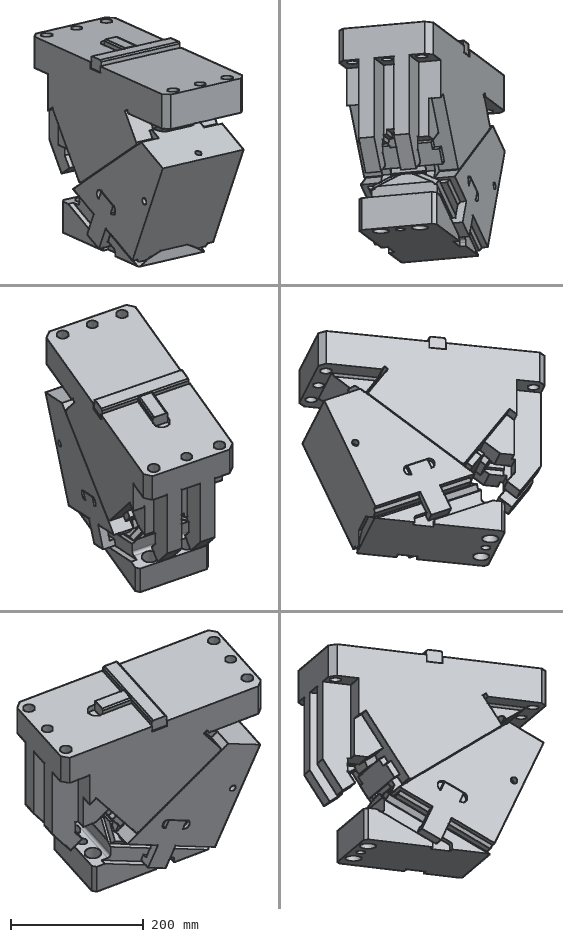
import cadquery as cq
import math

LENGTH = 350.0
HALF_WIDTH = 150.0 / 2
PLATE_TOP = 300.0
OVERALL_HEIGHT = 309.0
REACH = 210.0
OVERLAP = 3.5

GUIDE_ANGLE = 25.0
DRIVE_ANGLE = 35.0
TIP_X = 110.2
TIP_Z = 84.7


def direction(angle):
    """Unit vector in the XZ plane, measured upward from +X."""
    return cq.Vector(math.cos(math.radians(angle)), 0, math.sin(math.radians(angle)))


TIP = cq.Vector(TIP_X, 0, TIP_Z)
SIDE = cq.Plane(origin=(0, 0, 0), xDir=(1, 0, 0), normal=(0, -1, 0))
GUIDE = cq.Plane(origin=TIP, xDir=direction(-GUIDE_ANGLE), normal=(0, -1, 0))
DRIVE = cq.Plane(origin=TIP, xDir=direction(DRIVE_ANGLE), normal=(0, -1, 0))


def prism(plane, points, half_width):
    """Outline in a side plane, extruded evenly to both sides of Y = 0."""
    return cq.Workplane(plane).polyline(points).close().extrude(half_width, both=True)


def slab(plane, points, y_near, y_far):
    """Outline in a side plane, extruded between two Y positions."""
    body = cq.Workplane(plane).polyline(points).close().extrude(y_near - y_far)
    return body.translate((0, y_near, 0))


def pair(plane, points, y_near, y_far):
    """The same slab on the left and the right of the unit."""
    return slab(plane, points, y_near, y_far).union(slab(plane, points, -y_far, -y_near))


def rectangle(left, bottom, right, top):
    return [(left, bottom), (right, bottom), (right, top), (left, top)]


def box(x_range, y_range, z_range):
    (x0, x1), (y0, y1), (z0, z1) = x_range, y_range, z_range
    return cq.Workplane("XY").box(x1 - x0, y1 - y0, z1 - z0, centered=False).translate((x0, y0, z0))


def guide_section(points, start, end):
    """Cross-section (Y, height above the guide line) swept along the guide slope."""
    origin = TIP + direction(-GUIDE_ANGLE) * start
    plane = cq.Plane(origin=origin, xDir=(0, 1, 0), normal=direction(-GUIDE_ANGLE))
    return cq.Workplane(plane).polyline(points).close().extrude(end - start)


def guide_point(along, height):
    """A point of the guide frame in X, Z."""
    point = GUIDE.toWorldCoords((along, height))
    return point.x, point.z


def drive_point(along, height):
    """A point of the drive frame in X, Z."""
    point = DRIVE.toWorldCoords((along, height))
    return point.x, point.z


ROOF_ANGLE = 30.0
ROOF_HALF_FLAT = 24.5
ROOF_TOP = 7.7


def roof_height(y):
    return ROOF_TOP - (y - ROOF_HALF_FLAT) * math.tan(math.radians(ROOF_ANGLE))


def roof_half_width(height):
    return ROOF_HALF_FLAT + (ROOF_TOP - height) / math.tan(math.radians(ROOF_ANGLE))


def roof_prism(half_width):
    """Everything under the roof, cut off at a half width."""
    edge = roof_height(half_width)
    points = [(-half_width, -REACH), (half_width, -REACH), (half_width, edge), (ROOF_HALF_FLAT, ROOF_TOP),
              (-ROOF_HALF_FLAT, ROOF_TOP), (-half_width, edge)]
    return guide_section(points, -REACH, 2 * REACH)


SLIDER_LENGTH = 169.8
SLIDER_HEIGHT = 187.0
LIP_START = 5.5
LIP_BOTTOM = -5.5
LIP_HALF_TOP = 65.5
LIP_HALF_BOTTOM = 62.0
TONGUE_HALF_WIDTH = 42.5
TONGUE_HEIGHT = 17.5
TONGUE_START = 11.5
TONGUE_FOOT = -1.5
TONGUE_RECESS = 28.0
TONGUE_RECESS_X = 114.5
LEG_LEFT = 59.5
LEG_RIGHT = 93.5
LEG_BOTTOM = -41.0
LEG_INNER = 62.0
TOOTH_TOP = -30.8
TOOTH_INNER = 54.2
POCKET_LEFT = 51.0
POCKET_RIGHT = 102.2
POCKET_BOTTOM = 30.8
POCKET_TOP = 46.5
POCKET_DEPTH = 7.0
POCKET_GAP = 0.7
SIDE_HOLE_X = 295.0
SIDE_HOLE_Z = 116.5
SIDE_HOLE_DIAMETER = 10.0
SIDE_HOLE_DEPTH = 14.0
END_HOLE_ALONG = 155.8
END_HOLE_DIAMETER = 9.8
END_HOLE_DEPTH = 21.0

BASE_LEFT = 60.0
BASE_RIGHT = 262.0
BASE_HALF_WIDTH = 61.5
BASE_CHAMFER = 5.5
PLATFORM_HEIGHT = 49.7
PLATFORM_END = 95.0
PLATFORM_FILLET = 5.2
GUIDE_START = -10.0
END_STEP = -5.0
END_HALF_FLAT = 9.5
END_TOP = 5.0
NECK_HALF_WIDTH = 52.0
GROOVE_HALF_WIDTH = 47.5
GROOVE_LIP = 53.2
LEDGE = -44.8
SHOULDER = -20.3
GROOVE_ROOT = -17.5
CATCH_BOTTOM = -29.8
PASSAGE_LEFT = 169.5
PASSAGE_RIGHT = 200.5
PASSAGE_FILLET = 5.2
BASE_HOLE_X = 76.3
BASE_HOLE_PITCH = 31.0
BASE_HOLE_DIAMETER = 25.0
BASE_DOWEL_DIAMETER = 14.0

PLATE_LEFT_BOTTOM = 250.0
PLATE_RIGHT_BOTTOM = 245.0
PLATE_CHAMFER = 10.0
BODY_LEFT = 45.0
BODY_BOTTOM = 100.5
CORE_BOTTOM = 133.0
CORE_HALF_WIDTH = 55.5
CORE_SLOPE = 64.5
SIDE_FACE = 22.0
SIDE_FACE_TOP = 125.0
STOP_TOP = 42.0
STOP_CENTRE_TOP = 54.0
CHANNEL_HALF_WIDTH = 44.8
DRIVE_GAP = 1.0
NOSE = 203.0
NOSE_CORNER = 4.2
GAP_END = 209.3
GAP_TOP = 55.3
GUSSET_BOTTOM = 8.0
GUSSET_HALF_WIDTH = 42.0
FLARE = 4.0
RELIEF_HEIGHT = 8.8
RELIEF_DEPTH = 17.5
RELIEF_END = 223.3
RELIEF_DIAMETER = 21.0
HOOK_INNER = 15.8
HOOK_OUTER = 40.2
HOOK_BEND_Z = 126.7
HOOK_POINT = (32.2, 80.5)
HOOK_HEEL = (52.5, 95.2)
HOOK_THROAT_X = 40.2
HOOK_THROAT_Z = 112.0
BOSS_START = 1.8
BOSS_LENGTH = 35.0
BOSS_BOTTOM = 54.2
BOSS_TOP = 77.0
BOSS_HALF_BOTTOM = 17.5
BOSS_HALF_TOP = 25.5
NOTCH_HALF_WIDTH = 11.0
NOTCH_TOP = 149.0
WIDE_NOTCH_HALF_WIDTH = 17.5
WIDE_NOTCH_TOP = 141.5
LEFT_HOLE_X = 15.0
LEFT_HOLE_Y = 55.3
RIGHT_HOLE_X = 335.0
RIGHT_HOLE_Y = 50.0
SCREW_DIAMETER = 18.0
DOWEL_DIAMETER = 16.8
KEY_LEFT = 154.7
KEY_RIGHT = 180.5
KEY_BOTTOM = 289.5
KEY_HALF_LENGTH = 73.0
KEY_CHAMFER = 2.5
LONG_KEY_START = 104.5
LONG_KEY_SLOT_START = 87.0
LONG_KEY_HALF_WIDTH = 12.5


def slider_pocket():
    """Round-ended recess in the near side, whose middle is filled by a flush pad."""
    middle = (POCKET_BOTTOM + POCKET_TOP) / 2
    height = POCKET_TOP - POCKET_BOTTOM
    slot = (cq.Workplane(GUIDE).center((POCKET_LEFT + POCKET_RIGHT) / 2, middle)
            .slot2D(POCKET_RIGHT - POCKET_LEFT, height).extrude(POCKET_DEPTH))
    pad = (cq.Workplane(GUIDE)
           .polyline(rectangle(LEG_LEFT, POCKET_BOTTOM, LEG_RIGHT, POCKET_TOP - POCKET_GAP))
           .close().extrude(POCKET_DEPTH))
    return slot.cut(pad).translate((0, POCKET_DEPTH - HALF_WIDTH, 0))


def side_hole():
    """Blind hole in the near side, with a drill point."""
    radius = SIDE_HOLE_DIAMETER / 2
    profile = [(0, 0), (radius, 0), (radius, SIDE_HOLE_DEPTH), (0, SIDE_HOLE_DEPTH + radius)]
    hole = cq.Workplane("XY").polyline(profile).close().revolve(360, (0, 0), (0, 1))
    return hole.translate((SIDE_HOLE_X, -HALF_WIDTH, SIDE_HOLE_Z))


def make_slider():
    drive_length = SLIDER_HEIGHT / math.tan(math.radians(GUIDE_ANGLE + DRIVE_ANGLE))
    body = prism(GUIDE, [(0, 0), (SLIDER_LENGTH, 0), (SLIDER_LENGTH, SLIDER_HEIGHT),
                         (drive_length, SLIDER_HEIGHT)], HALF_WIDTH)

    lip = [(-LIP_HALF_TOP, 0), (-LIP_HALF_BOTTOM, LIP_BOTTOM),
           (LIP_HALF_BOTTOM, LIP_BOTTOM), (LIP_HALF_TOP, 0)]
    body = body.union(guide_section(lip, LIP_START, SLIDER_LENGTH))

    turn = math.radians(GUIDE_ANGLE + DRIVE_ANGLE)
    corner_height = (TONGUE_START - TONGUE_FOOT * math.cos(turn)) / math.sin(turn)
    outline = [guide_point(TONGUE_FOOT, 0), guide_point(TONGUE_FOOT, corner_height),
               drive_point(TONGUE_START, TONGUE_HEIGHT), drive_point(2 * REACH, TONGUE_HEIGHT),
               drive_point(2 * REACH, 0), (TIP_X, TIP_Z)]
    tongue = prism(SIDE, outline, TONGUE_HALF_WIDTH)
    above_end = prism(GUIDE, rectangle(0, SLIDER_HEIGHT, 3 * REACH, 3 * REACH), HALF_WIDTH)
    body = body.union(tongue.cut(above_end))

    body = body.cut(box((0, TONGUE_RECESS_X), (-TONGUE_RECESS, TONGUE_RECESS), (0, PLATE_TOP)))

    body = body.union(pair(GUIDE, rectangle(LEG_LEFT, LEG_BOTTOM, LEG_RIGHT, 0), LEG_INNER, HALF_WIDTH))
    body = body.union(pair(GUIDE, rectangle(LEG_LEFT, LEG_BOTTOM, LEG_RIGHT, TOOTH_TOP),
                           TOOTH_INNER, LEG_INNER))

    seat = roof_prism(roof_half_width(LIP_BOTTOM))
    above_lip = prism(GUIDE, rectangle(-REACH, LIP_BOTTOM, 2 * REACH, REACH), HALF_WIDTH)
    body = body.cut(seat.intersect(above_lip))

    for recess in (slider_pocket(), side_hole()):
        body = body.cut(recess).cut(recess.mirror("XZ"))
    end_plane = cq.Plane(origin=GUIDE.toWorldCoords((END_HOLE_ALONG, SLIDER_HEIGHT)), xDir=(0, 1, 0),
                         normal=direction(90 - GUIDE_ANGLE))
    return body.cut(cq.Workplane(end_plane).circle(END_HOLE_DIAMETER / 2).extrude(-END_HOLE_DEPTH))


def guide_groove():
    """V-grooves and clearance beside the neck, from the left end to the legs of the slider."""
    half = [(BASE_HALF_WIDTH, LEDGE), (NECK_HALF_WIDTH, LEDGE), (NECK_HALF_WIDTH, SHOULDER),
            (GROOVE_HALF_WIDTH, GROOVE_ROOT), (GROOVE_LIP, roof_height(GROOVE_LIP)), (BASE_HALF_WIDTH, 0)]
    start = -REACH / 2
    near = guide_section([(-y, height) for y, height in half], start, LEG_RIGHT)
    return near.union(guide_section(half, start, LEG_RIGHT))


def end_step():
    """Material above the lower roof at the left end of the guide."""
    fall = (BASE_HALF_WIDTH - END_HALF_FLAT) * math.tan(math.radians(ROOF_ANGLE))
    points = [(-BASE_HALF_WIDTH, END_TOP - fall), (-END_HALF_FLAT, END_TOP), (END_HALF_FLAT, END_TOP),
              (BASE_HALF_WIDTH, END_TOP - fall), (BASE_HALF_WIDTH, REACH), (-BASE_HALF_WIDTH, REACH)]
    return guide_section(points, -REACH / 2, END_STEP)


def tooth_passage():
    """Clearance under the catch, open to the bottom, on both sides."""
    slope = math.tan(math.radians(GUIDE_ANGLE))
    x, z = guide_point(0, CATCH_BOTTOM)
    outline = [(PASSAGE_LEFT, 0), (PASSAGE_RIGHT, 0), (PASSAGE_RIGHT, z - (PASSAGE_RIGHT - x) * slope),
               (PASSAGE_LEFT, z - (PASSAGE_LEFT - x) * slope)]
    passage = slab(SIDE, outline, NECK_HALF_WIDTH, BASE_HALF_WIDTH)
    passage = passage.faces(">X").edges(">Z").fillet(PASSAGE_FILLET)
    return passage.union(passage.mirror("XZ"))


def make_base():
    slope = math.tan(math.radians(GUIDE_ANGLE))
    top_x, top_z = guide_point(GUIDE_START, ROOF_TOP)
    wall_top = top_z - (top_x - PLATFORM_END) / slope
    right_top = top_z - (BASE_RIGHT - top_x) * slope
    outline = [(BASE_LEFT, 0), (BASE_RIGHT, 0), (BASE_RIGHT, right_top), (top_x, top_z),
               (PLATFORM_END, wall_top), (PLATFORM_END, PLATFORM_HEIGHT), (BASE_LEFT, PLATFORM_HEIGHT)]
    body = prism(SIDE, outline, BASE_HALF_WIDTH)
    inner_corner = cq.selectors.NearestToPointSelector((PLATFORM_END, 0, PLATFORM_HEIGHT))
    body = body.edges("|Y").edges(inner_corner).fillet(PLATFORM_FILLET)
    body = body.edges("|Z and <X").chamfer(BASE_CHAMFER)
    body = body.intersect(roof_prism(BASE_HALF_WIDTH))
    body = body.cut(guide_groove()).cut(end_step()).cut(tooth_passage())

    holes = [(0, BASE_DOWEL_DIAMETER), (BASE_HOLE_PITCH, BASE_HOLE_DIAMETER),
             (-BASE_HOLE_PITCH, BASE_HOLE_DIAMETER)]
    for y, diameter in holes:
        body = body.cut(cq.Workplane("XY").center(BASE_HOLE_X, y).circle(diameter / 2)
                        .extrude(PLATFORM_HEIGHT))
    return body


def holder_plate():
    """Top plate, thicker on the right, with cut corners."""
    outline = [(0, PLATE_LEFT_BOTTOM), (LENGTH / 2, PLATE_LEFT_BOTTOM), (LENGTH / 2, PLATE_RIGHT_BOTTOM),
               (LENGTH, PLATE_RIGHT_BOTTOM), (LENGTH, PLATE_TOP), (0, PLATE_TOP)]
    plate = prism(SIDE, outline, HALF_WIDTH)
    plate = plate.edges("|Z and <X").chamfer(PLATE_CHAMFER)
    return plate.edges("|Z and >X").chamfer(PLATE_CHAMFER)


def holder_walls():
    """Body between the end face, the drive face and the gap."""
    slope = math.tan(math.radians(DRIVE_ANGLE))
    corner_x, corner_z = drive_point(SIDE_FACE, SIDE_FACE_TOP)
    foot_x = corner_x + (corner_z - BODY_BOTTOM) * slope
    drive_x, drive_z = drive_point(0, DRIVE_GAP)
    nose_x = drive_point(NOSE, NOSE_CORNER)[0]
    outline = [(BODY_LEFT, PLATE_TOP - OVERLAP), (BODY_LEFT, corner_z - (corner_x - BODY_LEFT) * slope),
               (corner_x, corner_z), (foot_x, BODY_BOTTOM),
               (drive_x + (BODY_BOTTOM - drive_z) / slope, BODY_BOTTOM),
               (nose_x, drive_z + (nose_x - drive_x) * slope), drive_point(NOSE, NOSE_CORNER),
               drive_point(NOSE, GAP_TOP), (drive_point(NOSE, GAP_TOP)[0], PLATE_TOP - OVERLAP)]
    return prism(SIDE, outline, HALF_WIDTH)


def holder_core():
    """Narrower centre behind the end faces, with the stops for the slider."""
    x, z = drive_point(SIDE_FACE, CORE_SLOPE)
    slope = math.tan(math.radians(DRIVE_ANGLE))
    core = prism(SIDE, [(BODY_LEFT, PLATE_LEFT_BOTTOM), (BODY_LEFT, CORE_BOTTOM),
                        (x - (z - CORE_BOTTOM) / slope, CORE_BOTTOM), (x, z), (x, PLATE_LEFT_BOTTOM)],
                 CORE_HALF_WIDTH)
    stop = prism(DRIVE, rectangle(TONGUE_START, TONGUE_HEIGHT, NOSE / 2, STOP_TOP), CORE_HALF_WIDTH)
    centre = prism(DRIVE, rectangle(TONGUE_START, TONGUE_HEIGHT, NOSE / 2, STOP_CENTRE_TOP),
                   CHANNEL_HALF_WIDTH)
    notch = box((0, x), (-NOTCH_HALF_WIDTH, NOTCH_HALF_WIDTH), (0, NOTCH_TOP))
    notch = notch.union(box((0, x), (-WIDE_NOTCH_HALF_WIDTH, WIDE_NOTCH_HALF_WIDTH), (0, WIDE_NOTCH_TOP)))
    boss_plane = cq.Plane(origin=DRIVE.toWorldCoords((BOSS_START, 0)), xDir=(0, 1, 0),
                          normal=direction(DRIVE_ANGLE))
    section = [(-BOSS_HALF_TOP, BOSS_TOP), (-BOSS_HALF_BOTTOM, BOSS_BOTTOM),
               (BOSS_HALF_BOTTOM, BOSS_BOTTOM), (BOSS_HALF_TOP, BOSS_TOP)]
    boss = cq.Workplane(boss_plane).polyline(section).close().extrude(BOSS_LENGTH)
    return core.cut(notch).union(stop).union(centre).union(boss)


def gusset_relief():
    """Round-ended slanted cut along the lower edge of the gusset, on the near side."""
    middle = DRIVE.toWorldCoords((RELIEF_END, GUSSET_BOTTOM + RELIEF_HEIGHT / 2))
    outward = direction(DRIVE_ANGLE - 90) * RELIEF_DEPTH + cq.Vector(0, -RELIEF_HEIGHT, 0)
    plane = cq.Plane(origin=middle - cq.Vector(0, GUSSET_HALF_WIDTH - RELIEF_DEPTH / 2, 0),
                     xDir=direction(DRIVE_ANGLE), normal=outward)
    straight = 2 * (RELIEF_END - GAP_END)
    slot = cq.Workplane(plane).center(-straight / 2, 0).slot2D(straight + RELIEF_DIAMETER, RELIEF_DIAMETER)
    return slot.extrude(RELIEF_DIAMETER)


def holder_gusset():
    """Rib under the right end of the plate, flared where it meets the plate."""
    top = PLATE_RIGHT_BOTTOM + OVERLAP
    start = drive_point(GAP_END, GUSSET_BOTTOM)
    slope = math.tan(math.radians(DRIVE_ANGLE))
    end_x = start[0] + (top - start[1]) / slope
    gap_x = start[0] - (top - start[1]) * slope
    rib = prism(SIDE, [start, (end_x, top), (gap_x, top)], GUSSET_HALF_WIDTH + FLARE)
    flare_bottom = PLATE_RIGHT_BOTTOM - FLARE
    section = [(GUSSET_HALF_WIDTH, 0), (GUSSET_HALF_WIDTH, flare_bottom),
               (GUSSET_HALF_WIDTH + FLARE, PLATE_RIGHT_BOTTOM), (GUSSET_HALF_WIDTH + FLARE, top)]
    section += [(-y, z) for y, z in reversed(section)]
    rib = rib.intersect(cq.Workplane("YZ").polyline(section).close().extrude(LENGTH))
    slider_side = prism(GUIDE, rectangle(0, 0, 2 * REACH, SLIDER_HEIGHT), HALF_WIDTH)
    relief = gusset_relief()
    return rib.cut(slider_side).cut(relief).cut(relief.mirror("XZ"))


def holder_hooks():
    """Two legs on the left, each ending in a slanted hook."""
    outline = [(0, PLATE_TOP - PLATE_CHAMFER), (0, HOOK_BEND_Z), HOOK_POINT, HOOK_HEEL,
               (HOOK_THROAT_X, HOOK_THROAT_Z), (HOOK_THROAT_X, CORE_BOTTOM),
               (BODY_LEFT, CORE_BOTTOM), (BODY_LEFT, PLATE_TOP - PLATE_CHAMFER)]
    return pair(SIDE, outline, HOOK_INNER, HOOK_OUTER)


def keys_and_slots(body):
    slot_depth = PLATE_TOP - KEY_BOTTOM
    round_x = LONG_KEY_SLOT_START + LONG_KEY_HALF_WIDTH
    body = body.cut(box((KEY_LEFT, KEY_RIGHT), (-REACH, REACH), (KEY_BOTTOM, PLATE_TOP)))
    body = body.cut(box((round_x, KEY_LEFT), (-LONG_KEY_HALF_WIDTH, LONG_KEY_HALF_WIDTH),
                        (KEY_BOTTOM, PLATE_TOP)))
    body = body.cut(cq.Workplane("XY", origin=(round_x, 0, KEY_BOTTOM))
                    .circle(LONG_KEY_HALF_WIDTH).extrude(slot_depth))
    cross = box((KEY_LEFT, KEY_RIGHT), (-KEY_HALF_LENGTH, KEY_HALF_LENGTH), (KEY_BOTTOM, OVERALL_HEIGHT))
    cross = cross.edges(">Z and |Y").chamfer(KEY_CHAMFER)
    along = box((LONG_KEY_START, KEY_LEFT), (-LONG_KEY_HALF_WIDTH, LONG_KEY_HALF_WIDTH),
                (KEY_BOTTOM, OVERALL_HEIGHT))
    along = along.edges(">Z and |X").chamfer(KEY_CHAMFER)
    return body.union(cross).union(along)


def make_holder():
    body = holder_plate().union(holder_walls()).union(holder_core())
    channel = prism(DRIVE, rectangle(0, -REACH, GAP_END, TONGUE_HEIGHT), CHANNEL_HALF_WIDTH)
    body = body.cut(channel)
    body = body.union(holder_hooks()).union(holder_gusset())
    body = body.cut(prism(DRIVE, rectangle(NOSE, 0, GAP_END, GAP_TOP), HALF_WIDTH))
    body = keys_and_slots(body)

    holes = [(LEFT_HOLE_X, LEFT_HOLE_Y, SCREW_DIAMETER), (LEFT_HOLE_X, 0, DOWEL_DIAMETER),
             (LEFT_HOLE_X, -LEFT_HOLE_Y, SCREW_DIAMETER), (RIGHT_HOLE_X, RIGHT_HOLE_Y, SCREW_DIAMETER),
             (RIGHT_HOLE_X, 0, DOWEL_DIAMETER), (RIGHT_HOLE_X, -RIGHT_HOLE_Y, SCREW_DIAMETER)]
    for x, y, diameter in holes:
        body = body.cut(cq.Workplane("XY", origin=(x, y, PLATE_RIGHT_BOTTOM))
                        .circle(diameter / 2).extrude(PLATE_TOP - PLATE_RIGHT_BOTTOM))
    return body


holder = make_holder()
slider = make_slider()
base = make_base()

result = cq.Compound.makeCompound([holder.solids().val(), slider.solids().val(), base.solids().val()])